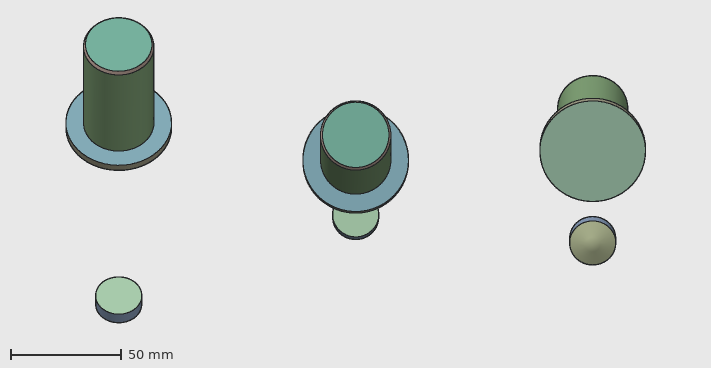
import cadquery as cq
import math

head_diameter = 48.0
head_thickness = 4.0
shank_diameter = 32.0
pin_length = 64.0
chamfer_height = 1.6
chamfer_angle = 30.0

overall_height = 203.2
plug_diameter = 21.0
plug_length = 10.5
point_angle = 140.0


def make_pin():
    """Plain shank with a chamfered free end, on a flat round head."""
    chamfer_width = chamfer_height * math.tan(math.radians(chamfer_angle))
    head_radius = head_diameter / 2
    shank_radius = shank_diameter / 2
    half_section = [
        (0, 0),
        (head_radius, 0),
        (head_radius, head_thickness),
        (shank_radius, head_thickness),
        (shank_radius, pin_length - chamfer_height),
        (shank_radius - chamfer_width, pin_length),
        (0, pin_length),
    ]
    return revolve_about_z(half_section)


def make_plug():
    """Short cylinder whose lower end is a shallow cone."""
    radius = plug_diameter / 2
    point_height = radius / math.tan(math.radians(point_angle / 2))
    point_z = pin_length - overall_height
    rim_bottom_z = point_z + point_height
    top_z = point_z + plug_length
    half_section = [
        (0, point_z),
        (radius, rim_bottom_z),
        (radius, top_z),
        (0, top_z),
    ]
    return revolve_about_z(half_section)


def revolve_about_z(half_section):
    """Turn a closed outline of (radius, z) points into a solid of revolution."""
    return cq.Workplane("XZ").polyline(half_section).close().revolve(360, (0, 0), (0, 1))


pin = make_pin()
plug = make_plug()

result = cq.Compound.makeCompound([pin.val(), plug.val()])